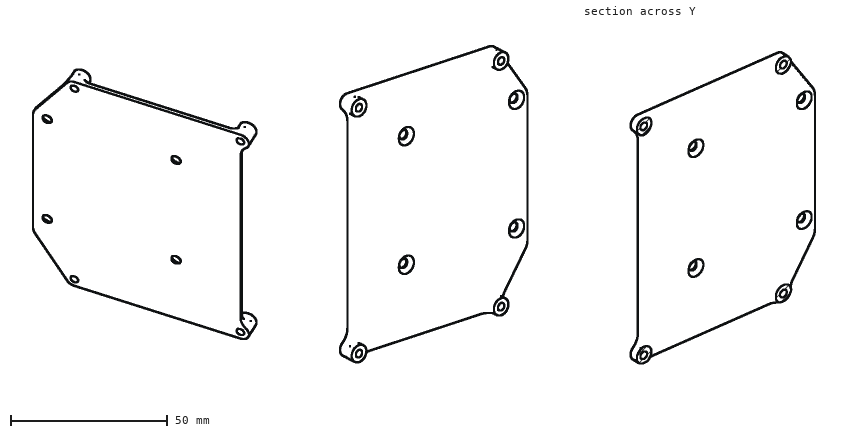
import cadquery as cq
import math

PLATE_THICKNESS = 2.0
EDGE_ROUND = 1.0

STANDOFF_RADIUS = 3.0
STANDOFF_HEIGHT = 6.0
STANDOFF_FILLET = 2.0
FLARE_INSET = 0.01
STANDOFF_BORE = 2.6
STANDOFF_LEFT_X = 14.5
STANDOFF_SPACING_X = 58.0
STANDOFF_SPACING_Z = 86.0

MOUNT_HOLE_DIAMETER = 3.2
MOUNT_HOLE_LEFT_X = 5.0
MOUNT_HOLE_SPACING = 45.0
MOUNT_PATTERN_Z = 2.8
COUNTERSINK_DEPTH = 1.5

CORNER_RADIUS = 5.0
CORNER_CENTER_Z = 25.3
NECK_RADIUS = 6.0

STANDOFF_RIGHT_X = STANDOFF_LEFT_X + STANDOFF_SPACING_X
STANDOFF_Z = STANDOFF_SPACING_Z / 2
TOP_Z = STANDOFF_Z + STANDOFF_RADIUS

SIDES = (-1, 1)
STANDOFF_POINTS = [
    (x, side * STANDOFF_Z)
    for x in (STANDOFF_LEFT_X, STANDOFF_RIGHT_X)
    for side in SIDES
]
MOUNT_HOLE_POINTS = [
    (x, MOUNT_PATTERN_Z + side * MOUNT_HOLE_SPACING / 2)
    for x in (MOUNT_HOLE_LEFT_X, MOUNT_HOLE_LEFT_X + MOUNT_HOLE_SPACING)
    for side in SIDES
]


def on_circle(center, radius, angle):
    return (center[0] + radius * math.cos(angle), center[1] + radius * math.sin(angle))


def extrude_back(sketch, depth):
    """Extrude an XZ sketch toward +Y."""
    return sketch.extrude(-depth)


def half_plate(thickness):
    """Upper half of the plate, its outline tangent to the standoff cylinders."""
    left_boss = (STANDOFF_LEFT_X, STANDOFF_Z)
    right_boss = (STANDOFF_RIGHT_X, STANDOFF_Z)

    corner = (CORNER_RADIUS, CORNER_CENTER_Z)
    run = left_boss[0] - corner[0]
    rise = left_boss[1] - corner[1]
    center_angle = math.atan2(rise, run)
    radius_ratio = (CORNER_RADIUS - STANDOFF_RADIUS) / math.hypot(run, rise)
    slant_normal = center_angle + math.acos(radius_ratio)

    center_distance = STANDOFF_RADIUS + NECK_RADIUS
    neck_drop = math.sqrt(center_distance ** 2 - NECK_RADIUS ** 2)
    neck = (STANDOFF_RIGHT_X + NECK_RADIUS, STANDOFF_Z - neck_drop)
    neck_angle = math.atan2(-neck_drop, NECK_RADIUS)
    neck_start = neck_angle + math.pi

    outline = (
        cq.Workplane("XZ")
        .moveTo(0, 0)
        .lineTo(0, CORNER_CENTER_Z)
        .threePointArc(
            on_circle(corner, CORNER_RADIUS, (math.pi + slant_normal) / 2),
            on_circle(corner, CORNER_RADIUS, slant_normal),
        )
        .lineTo(*on_circle(left_boss, STANDOFF_RADIUS, slant_normal))
        .threePointArc(
            on_circle(left_boss, STANDOFF_RADIUS, (slant_normal + math.pi / 2) / 2),
            (STANDOFF_LEFT_X, TOP_Z),
        )
        .lineTo(STANDOFF_RIGHT_X, TOP_Z)
        .threePointArc(
            on_circle(right_boss, STANDOFF_RADIUS, (math.pi / 2 + neck_angle) / 2),
            on_circle(right_boss, STANDOFF_RADIUS, neck_angle),
        )
        .threePointArc(
            on_circle(neck, NECK_RADIUS, (neck_start + math.pi) / 2),
            (STANDOFF_RIGHT_X, neck[1]),
        )
        .lineTo(STANDOFF_RIGHT_X, 0)
        .close()
    )
    return extrude_back(outline, thickness)


def plate(thickness):
    upper = half_plate(thickness)
    return upper.union(upper.mirror("XY")).clean()


def standoff_flare(x, z):
    """Disc with a concave flank that blends a standoff into the plate.

    Its throat sits FLARE_INSET inside the standoff, so the flank crosses the plate's
    tangent side walls cleanly instead of only touching them.
    """
    throat_radius = STANDOFF_RADIUS - FLARE_INSET
    foot_radius = throat_radius + STANDOFF_FILLET
    flare_top = PLATE_THICKNESS + STANDOFF_FILLET
    profile = (
        cq.Workplane("XY")
        .lineTo(foot_radius, 0)
        .lineTo(foot_radius, PLATE_THICKNESS)
        .radiusArc((throat_radius, flare_top), STANDOFF_FILLET)
        .lineTo(0, flare_top)
        .close()
    )
    return profile.revolve(360, (0, 0), (0, 1)).translate((x, 0, z))


def plate_with_flares():
    """Plate plus flares trimmed to its outline, with the rear rim rounded all the way around."""
    body = plate(PLATE_THICKNESS)
    outline_prism = plate(STANDOFF_HEIGHT)
    for x, z in STANDOFF_POINTS:
        body = body.union(standoff_flare(x, z).intersect(outline_prism))

    left_rear_edge = cq.NearestToPointSelector((0, PLATE_THICKNESS, 0))
    return body.edges(left_rear_edge).fillet(EDGE_ROUND)


def standoffs():
    """Standoff cylinders above the plate; their bases are buried in the flares."""
    circles = (
        cq.Workplane("XZ", origin=(0, PLATE_THICKNESS, 0))
        .pushPoints(STANDOFF_POINTS)
        .circle(STANDOFF_RADIUS)
    )
    return extrude_back(circles, STANDOFF_HEIGHT - PLATE_THICKNESS)


def through_holes(points, diameter):
    circles = cq.Workplane("XZ").pushPoints(points).circle(diameter / 2)
    return extrude_back(circles, STANDOFF_HEIGHT)


def countersinks():
    """45 degree cones that open the mounting holes toward the rear face."""
    hole_radius = MOUNT_HOLE_DIAMETER / 2
    rim_radius = hole_radius + COUNTERSINK_DEPTH
    cone = (
        cq.Workplane("XY")
        .moveTo(0, PLATE_THICKNESS - COUNTERSINK_DEPTH)
        .lineTo(hole_radius, PLATE_THICKNESS - COUNTERSINK_DEPTH)
        .lineTo(rim_radius, PLATE_THICKNESS)
        .lineTo(0, PLATE_THICKNESS)
        .close()
        .revolve(360, (0, 0), (0, 1))
    )
    cones = cq.Workplane("XY")
    for x, z in MOUNT_HOLE_POINTS:
        cones = cones.add(cone.translate((x, 0, z)))
    return cones.combine()


result = (
    plate_with_flares()
    .union(standoffs(), clean=False)
    .cut(through_holes(STANDOFF_POINTS, STANDOFF_BORE), clean=False)
    .cut(through_holes(MOUNT_HOLE_POINTS, MOUNT_HOLE_DIAMETER), clean=False)
    .cut(countersinks(), clean=False)
    .clean()
    .solids()
)